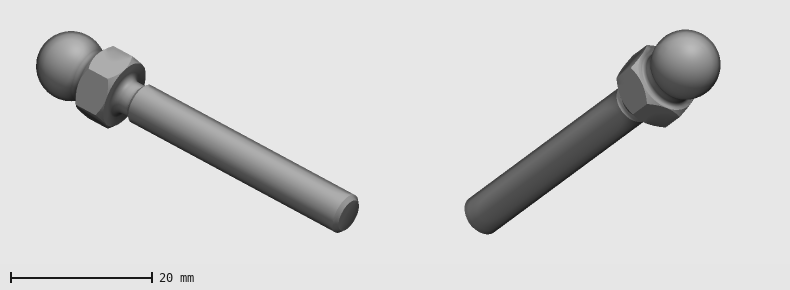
import cadquery as cq
import math

total_length = 54.5
ball_diameter = 10.0
neck_radius = 4.0
neck_fillet = 0.5
hex_across_flats = 10.0
hex_start = 9.5
hex_thickness = 5.0
hex_face_radius = 4.95
relief_radius = 2.5
relief_fillet = 1.0
shank_start = 17.45
shank_radius = 3.0
end_chamfer = 0.6

ball_radius = ball_diameter / 2
hex_end = hex_start + hex_thickness
hex_middle = (hex_start + hex_end) / 2
hex_across_corners = hex_across_flats / math.cos(math.radians(30))
neck_start = ball_radius + math.sqrt(ball_radius**2 - neck_radius**2)
shank_step = shank_radius - relief_radius
arc_offset = 1 - math.sqrt(0.5)


def make_turned_body():
    """Ball, neck, relief groove and shank, revolved about X."""
    return (
        cq.Workplane("XY")
        .moveTo(0, 0)
        .threePointArc((ball_radius, ball_radius), (neck_start, neck_radius))
        .lineTo(hex_start - neck_fillet, neck_radius)
        .threePointArc(
            (hex_start - neck_fillet * arc_offset, neck_radius + neck_fillet * arc_offset),
            (hex_start, neck_radius + neck_fillet),
        )
        .lineTo(hex_end, neck_radius + neck_fillet)
        .lineTo(hex_end, relief_radius + relief_fillet)
        .threePointArc(
            (hex_end + relief_fillet * arc_offset, relief_radius + relief_fillet * arc_offset),
            (hex_end + relief_fillet, relief_radius),
        )
        .lineTo(shank_start - shank_step, relief_radius)
        .lineTo(shank_start, shank_radius)
        .lineTo(total_length - end_chamfer, shank_radius)
        .lineTo(total_length, shank_radius - end_chamfer)
        .lineTo(total_length, 0)
        .close()
        .revolve(360, (0, 0, 0), (1, 0, 0))
    )


def make_hex():
    """Hexagon with corners on the Y axis, chamfered by a double cone."""
    prism = (
        cq.Workplane("YZ", origin=(hex_start, 0, 0))
        .polygon(6, hex_across_corners)
        .extrude(hex_thickness)
    )
    cone_envelope = (
        cq.Workplane("XY")
        .moveTo(hex_start, 0)
        .lineTo(hex_start, hex_face_radius)
        .lineTo(hex_middle, hex_face_radius + hex_thickness / 2)
        .lineTo(hex_end, hex_face_radius)
        .lineTo(hex_end, 0)
        .close()
        .revolve(360, (0, 0, 0), (1, 0, 0))
    )
    return prism.intersect(cone_envelope)


result = make_turned_body().union(make_hex())